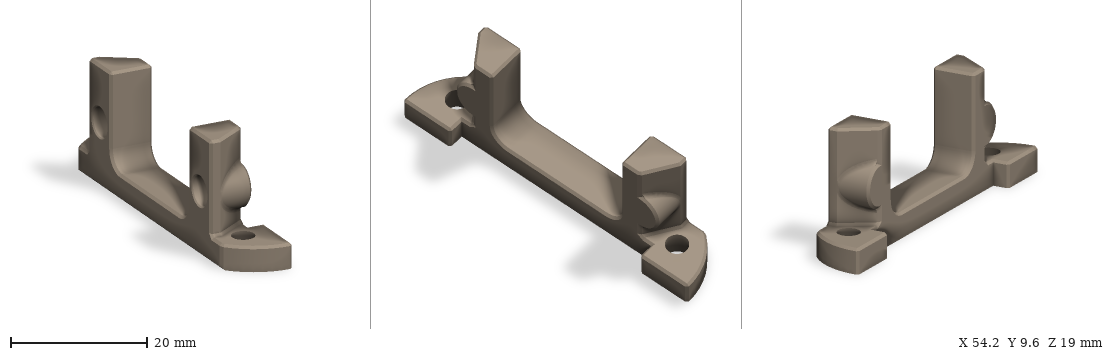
import cadquery as cq
import math

length = 54.2
depth = 9.6
height = 19.0
half_length = length / 2

base_height = 4.0
bar_depth = 7.0
ear_inner_x = 18.05
ear_arc_radius = 11.65
ear_arc_center_y = 9.15
ear_hole_diameter = 3.6
ear_hole_x = 21.0
ear_hole_y = 4.55

post_outer_x = 19.3
post_width = 7.0
post_flat_depth = 1.7
post_inner_x = post_outer_x - post_width
post_center_x = post_outer_x - post_width / 2
post_fillet_radius = 3.0
slant_run = post_width / 2
slant_rise = bar_depth - post_flat_depth

boss_radius = post_width / 2
boss_fillet_radius = 0.8
socket_z = 10.0
socket_diameter = 4.7
socket_floor_wall = 1.2
socket_depth = bar_depth - socket_floor_wall
socket_mouth_chamfer = 0.2
socket_slope_width = 0.45

edge_chamfer = 0.4

tolerance = 0.005


def with_mirror(half):
    """Join a feature on the -X side with its mirror image on the +X side."""
    return half.union(half.mirror("YZ"))


def ear_arc_point(y):
    """Point at depth y on the round end of the -X ear."""
    reach = math.sqrt(ear_arc_radius**2 - (y - ear_arc_center_y) ** 2)
    return (-half_length + ear_arc_radius - reach, y)


def half_base():
    return (
        cq.Workplane("XY")
        .lineTo(*ear_arc_point(0))
        .threePointArc(ear_arc_point(ear_arc_center_y / 2), ear_arc_point(ear_arc_center_y))
        .lineTo(-half_length, depth)
        .lineTo(-ear_inner_x, depth)
        .lineTo(-ear_inner_x, bar_depth)
        .lineTo(0, bar_depth)
        .close()
        .extrude(base_height)
    )


def post():
    outline = [
        (-post_outer_x, 0),
        (-post_inner_x, 0),
        (-post_inner_x, bar_depth),
        (-post_center_x, bar_depth),
        (-post_outer_x, post_flat_depth),
    ]
    return cq.Workplane("XY").polyline(outline).close().extrude(height)


def boss():
    """Half cylinder on the outer side of the socket axis."""
    return (
        cq.Workplane("XZ", origin=(-post_center_x, bar_depth, socket_z))
        .moveTo(0, -boss_radius)
        .threePointArc((-boss_radius, 0), (0, boss_radius))
        .close()
        .extrude(slant_rise)
    )


def boss_fillet():
    """Fillet in the corner between the boss and the slanted post face.

    It is formed on an oversized slanted slab and a full cylinder, where the corner
    is a closed ellipse, and then trimmed to the slanted face of the post.
    """
    oversize = 3
    front_y = bar_depth - oversize * slant_rise
    back_y = bar_depth + oversize * slant_rise
    slab_outline = [
        (-post_center_x - oversize * slant_run, front_y),
        (-post_center_x + oversize * slant_run, back_y),
        (0, back_y),
        (0, front_y),
    ]
    slab = cq.Workplane("XY").polyline(slab_outline).close().extrude(height)
    cylinder = (
        cq.Workplane("XZ", origin=(-post_center_x, back_y, socket_z))
        .circle(boss_radius)
        .extrude(back_y - front_y)
    )
    joined = slab.union(cylinder)
    corner = [edge for edge in joined.edges().vals() if edge.geomType() == "ELLIPSE"]
    joined = joined.newObject(corner).fillet(boss_fillet_radius)
    trim = (
        cq.Workplane("XY", origin=(-post_outer_x, post_flat_depth, base_height))
        .box(slant_run, slant_rise - edge_chamfer, height - base_height - edge_chamfer, centered=False)
    )
    return joined.intersect(trim)


def round_inner_corners(body):
    corners = cq.selectors.BoxSelector(
        (-post_inner_x - tolerance, 0, base_height - tolerance),
        (post_inner_x + tolerance, bar_depth, base_height + tolerance),
    )
    return body.edges("|Y").edges(corners).fillet(post_fillet_radius)


def is_chamfered(edge):
    """True for the edges that are broken.

    Left sharp are the boss corner, the bottom edges behind the front face, the smooth
    seams, the front edge of the slant and the upright corner between ear and bar.
    """
    box = edge.BoundingBox()
    center = edge.Center()
    if edge.geomType() == "ELLIPSE":
        return False
    on_bottom = box.zmax < tolerance
    on_front = box.ymax < tolerance
    if on_bottom:
        return on_front
    if edge.geomType() != "LINE":
        return True
    direction = edge.tangentAt(0)
    if abs(direction.z) > 0.55 - tolerance:
        on_slant_front = abs(center.y - post_flat_depth) < tolerance
        on_arc_seam = abs(center.y - ear_arc_center_y) < tolerance
        beside_ear = abs(abs(center.x) - ear_inner_x) < tolerance
        in_notch_corner = beside_ear and abs(center.y - bar_depth) < tolerance
        return not (on_slant_front or on_arc_seam or in_notch_corner)
    between_posts = abs(center.x) < post_inner_x + tolerance
    below_fillet_top = center.z < base_height + post_fillet_radius + tolerance
    on_fillet_seam = abs(direction.y) > 0.55 - tolerance and between_posts and below_fillet_top
    return not on_fillet_seam


def socket():
    """Round pocket whose floor has a slope along its outer side, parallel to the slanted face."""
    radius = socket_diameter / 2
    slope_height = socket_slope_width * slant_rise / slant_run
    bore = (
        cq.Workplane("XZ", origin=(-post_center_x, 0, socket_z))
        .circle(radius)
        .extrude(-socket_depth)
    )
    slope = (
        cq.Workplane("XY", origin=(-post_center_x - radius, socket_depth, socket_z - radius))
        .polyline([(0, 0), (socket_slope_width, 0), (0, -slope_height)])
        .close()
        .extrude(socket_diameter)
    )
    mouth = (
        cq.Workplane("XZ", origin=(-post_center_x, 0, socket_z))
        .circle(radius + socket_mouth_chamfer)
        .workplane(offset=-socket_mouth_chamfer)
        .circle(radius)
        .loft()
    )
    return bore.cut(slope).union(mouth)


def ear_hole():
    return (
        cq.Workplane("XY")
        .center(-ear_hole_x, ear_hole_y)
        .circle(ear_hole_diameter / 2)
        .extrude(base_height)
    )


body = with_mirror(half_base()).union(with_mirror(post()))
body = round_inner_corners(body)
body = body.union(with_mirror(boss()))
chamfered_edges = [edge for edge in body.edges().vals() if is_chamfered(edge)]
body = body.newObject(chamfered_edges).chamfer(edge_chamfer)
body = body.union(with_mirror(boss_fillet()))
result = body.cut(with_mirror(socket())).cut(with_mirror(ear_hole()))